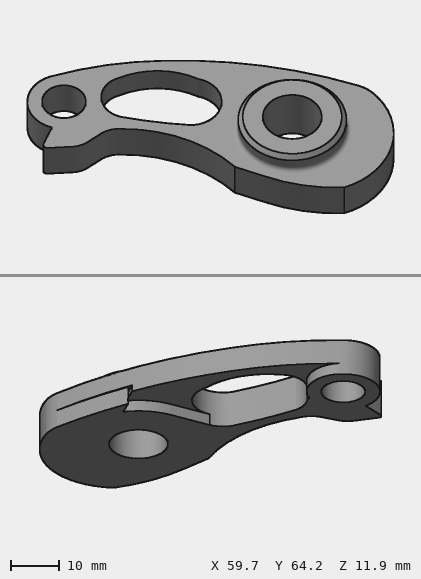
import cadquery as cq
import math

plate_height = 7.95
total_height = 11.9

bore_radius = 6.05
collar_radius = 11.1
collar_chamfer = 0.95
collar_fillet = 0.95

eye_x, eye_y = -32.7, -34.35
eye_radius = 7.5
eye_hole_radius = 4.5

pocket_depth = 2.5
pad_wall_radius = 14.0
lug_height = 3.9
lug_end_y = 6.7
relief_end_y = 6.1
lug_setback = 0.2

flank_top = (-2.45, 18.0)
flank_upper_mid = (-17.0, 5.85)
flank_joint = (-30.5, -11.1)
flank_lower_mid = (-35.85, -20.9)
flank_end = (-39.75, -32.0)

tooth_root = (-28.2, -40.4)


def eye_point(angle):
    """Point on the outer circle of the eye at an angle in degrees."""
    turn = math.radians(angle)
    return (eye_x + eye_radius * math.cos(turn), eye_y + eye_radius * math.sin(turn))


def plate():
    outline = (
        cq.Workplane("XY")
        .moveTo(*flank_top)
        .threePointArc(flank_upper_mid, flank_joint)
        .threePointArc(flank_lower_mid, flank_end)
        .threePointArc(eye_point(225), tooth_root)
        .lineTo(-25.5, -44.25)
        .threePointArc((-24.7, -44.7), (-24.0, -44.25))
        .lineTo(-21.5, -39.95)
        .threePointArc((-20.9, -38.4), (-20.75, -36.75))
        .lineTo(-21.1, -33.1)
        .threePointArc((-20.95, -30.9), (-19.9, -28.9))
        .threePointArc((-10.85, -20.05), (1.85, -15.5))
        .lineTo(7.25, -12.0)
        .threePointArc((14.1, -6.55), (19.15, -0.2))
        .threePointArc((14.85, 14.7), (0.9, 19.3))
        .threePointArc((-0.9, 18.8), flank_top)
        .close()
    )
    return outline.extrude(plate_height)


def collar():
    base_radius = collar_radius + collar_fillet
    fillet_top = plate_height + collar_fillet
    sag = collar_fillet * (1 - math.sqrt(0.5))
    profile = (
        cq.Workplane("XZ")
        .lineTo(base_radius, 0)
        .lineTo(base_radius, plate_height)
        .threePointArc((collar_radius + sag, plate_height + sag), (collar_radius, fillet_top))
        .lineTo(collar_radius, total_height - collar_chamfer)
        .lineTo(collar_radius - collar_chamfer, total_height)
        .lineTo(0, total_height)
        .close()
    )
    return profile.revolve(360, (0, 0, 0), (0, 1, 0))


def arm_window():
    return (
        cq.Workplane("XY")
        .moveTo(-31.7, -21.25)
        .threePointArc((-28.9, -13.75), (-22.35, -8.1))
        .threePointArc((-13.4, -8.55), (-12.7, -16.45))
        .threePointArc((-17.4, -21.85), (-22.75, -27.1))
        .threePointArc((-29.7, -27.15), (-31.7, -21.25))
        .close()
        .extrude(plate_height)
    )


def underside_pocket(end_y, depth):
    """Undercut running from the eye up to end_y, open through the flank."""
    outside_x = -48.15
    tangent_x, tangent_y = -13.75, -2.7
    end_x = -math.sqrt(pad_wall_radius**2 - end_y**2)
    region = (
        cq.Workplane("XY")
        .moveTo(-11.75, -11.8)
        .lineTo(tangent_x, tangent_y)
        .threePointArc((-pad_wall_radius, 0), (end_x, end_y))
        .lineTo(outside_x, end_y)
        .lineTo(outside_x, eye_y)
        .lineTo(eye_x, eye_y)
        .lineTo(-27.0, -27.0)
        .lineTo(-17.35, -14.1)
        .close()
        .extrude(depth)
    )
    eye = cq.Workplane("XY").center(eye_x, eye_y).circle(eye_radius).extrude(depth)
    return region.cut(eye)


def band_box(low_y, high_y):
    """Block covering the flank side of the plate between two Y positions."""
    width = 51.4
    length = high_y - low_y
    return cq.Workplane("XY").box(width, length, lug_height, centered=False).translate((-width, low_y, 0))


def lug_relief():
    """Thin setback that leaves the lug just inside the upper flank."""
    strip = (
        cq.Workplane("XY")
        .moveTo(*flank_top)
        .threePointArc(flank_upper_mid, flank_joint)
        .lineTo(flank_joint[0] + lug_setback, flank_joint[1] - lug_setback)
        .threePointArc((flank_upper_mid[0] + lug_setback, flank_upper_mid[1] - lug_setback), flank_top)
        .close()
        .extrude(lug_height)
    )
    return strip.intersect(band_box(lug_end_y, flank_top[1]))


def lug_gap():
    """Deeper step of the pocket beside the end of the lug."""
    return underside_pocket(lug_end_y, lug_height).intersect(band_box(relief_end_y, lug_end_y))


bore = cq.Workplane("XY").circle(bore_radius).extrude(total_height)
eye_hole = cq.Workplane("XY").center(eye_x, eye_y).circle(eye_hole_radius).extrude(plate_height)

result = plate().union(collar())
result = result.cut(bore).cut(eye_hole).cut(arm_window())
result = result.cut(underside_pocket(lug_end_y, pocket_depth)).cut(lug_gap()).cut(lug_relief())